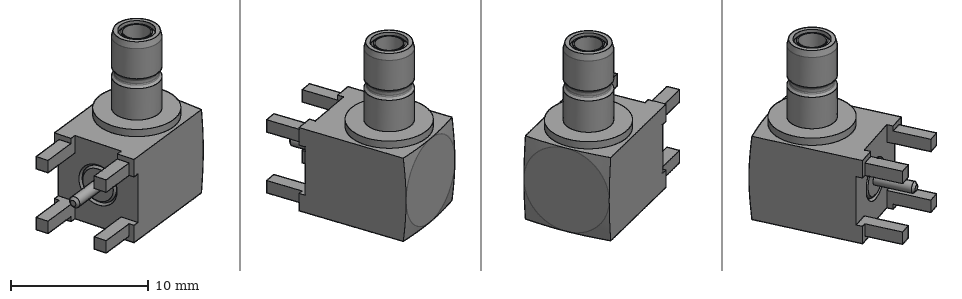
import cadquery as cq


height = 14.1
overall_depth = 12.05
body_width = 7.0
half_width = body_width / 2
back_y = half_width
leg_end_y = back_y - overall_depth
foot_y = -5.55
recess_y = -5.05
pin_z = half_width

back_rim_depth = 0.24
corner_radius = half_width * 2 ** 0.5

foot_size = 1.47
leg_inset = 0.42
leg_size = foot_size - leg_inset

pin_radius = 0.45
pin_tip_radius = 0.24
pin_end_y = -8.3
pin_chamfer_length = 0.21
groove_outer_radius = 1.68
groove_inner_radius = 1.34
groove_mid_radius = (groove_outer_radius + groove_inner_radius) / 2
groove_depth = 0.17

flange_radius = 3.21
flange_top = 7.6
barrel_radius = 1.85
barrel_tip_radius = 1.72
barrel_chamfer_height = 0.51
neck_radius = 1.62
neck_top = 11.07
neck_bottom = 10.24
neck_slope_height = barrel_radius - neck_radius
neck_fillet = 0.14

mouth_radius = 1.38
sleeve_tip_radius = 1.15
sleeve_top = 13.97
sleeve_chamfer_height = 0.23
bore_radius = 1.05
bore_floor = flange_top
contact_shoulder_radius = 0.44
contact_shoulder_top = 9.87
contact_radius = 0.27
contact_top = 11.28
contact_tip_radius = 0.05
contact_tip_height = contact_radius - contact_tip_radius


def make_body():
    """Square block whose back corners are turned down by a shallow cone."""
    block = cq.Workplane("XY").box(
        body_width, back_y - recess_y, body_width, centered=(True, False, False)
    ).translate((0, recess_y, 0))
    envelope = (
        cq.Workplane("XY")
        .moveTo(0, recess_y)
        .lineTo(corner_radius, recess_y)
        .lineTo(corner_radius, back_y - back_rim_depth)
        .lineTo(half_width, back_y)
        .lineTo(0, back_y)
        .close()
        .revolve(360, (0, 0), (0, 1))
        .translate((0, 0, pin_z))
    )
    return block.intersect(envelope)


def make_corner_post(side_x, side_z, size, offset, start_y, end_y):
    """Square post, its centre placed by offset from the pin axis."""
    return cq.Workplane("XY").box(size, start_y - end_y, size).translate(
        (side_x * offset, (start_y + end_y) / 2, pin_z + side_z * offset)
    )


def add_feet(part):
    foot_offset = half_width - foot_size / 2
    leg_offset = half_width - leg_inset - leg_size / 2
    for side_x in (-1, 1):
        for side_z in (-1, 1):
            part = part.union(make_corner_post(side_x, side_z, foot_size, foot_offset, recess_y, foot_y))
            part = part.union(make_corner_post(side_x, side_z, leg_size, leg_offset, foot_y, leg_end_y))
    return part


def make_groove():
    """V-section ring cut into the recessed front face."""
    return (
        cq.Workplane("XY")
        .moveTo(groove_inner_radius, recess_y)
        .lineTo(groove_mid_radius, recess_y + groove_depth)
        .lineTo(groove_outer_radius, recess_y)
        .close()
        .revolve(360, (0, 0), (0, 1))
        .translate((0, 0, pin_z))
    )


def make_pin():
    return (
        cq.Workplane("XY")
        .moveTo(0, recess_y)
        .lineTo(pin_radius, recess_y)
        .lineTo(pin_radius, pin_end_y + pin_chamfer_length)
        .lineTo(pin_tip_radius, pin_end_y)
        .lineTo(0, pin_end_y)
        .close()
        .revolve(360, (0, 0), (0, 1))
        .translate((0, 0, pin_z))
    )


def make_neck():
    """Ring removed from the barrel to leave the snap groove."""
    return (
        cq.Workplane("XZ")
        .moveTo(barrel_radius, neck_bottom)
        .lineTo(neck_radius, neck_bottom + neck_slope_height)
        .lineTo(neck_radius, neck_top - neck_slope_height)
        .lineTo(barrel_radius, neck_top)
        .close()
        .revolve(360, (0, 0), (0, 1))
        .edges(cq.selectors.RadiusNthSelector(0))
        .fillet(neck_fillet)
    )


def make_barrel():
    """Flange, grooved barrel, insulating sleeve and centre contact."""
    barrel = (
        cq.Workplane("XZ")
        .moveTo(0, body_width)
        .lineTo(flange_radius, body_width)
        .lineTo(flange_radius, flange_top)
        .lineTo(barrel_radius, flange_top)
        .lineTo(barrel_radius, height - barrel_chamfer_height)
        .lineTo(barrel_tip_radius, height)
        .lineTo(mouth_radius, height)
        .lineTo(mouth_radius, sleeve_top - sleeve_chamfer_height)
        .lineTo(sleeve_tip_radius, sleeve_top)
        .lineTo(bore_radius, sleeve_top)
        .lineTo(bore_radius, bore_floor)
        .lineTo(contact_shoulder_radius, bore_floor)
        .lineTo(contact_shoulder_radius, contact_shoulder_top)
        .lineTo(contact_radius, contact_shoulder_top)
        .lineTo(contact_radius, contact_top - contact_tip_height)
        .lineTo(contact_tip_radius, contact_top)
        .lineTo(0, contact_top)
        .close()
        .revolve(360, (0, 0), (0, 1))
    )
    return barrel.cut(make_neck())


result = add_feet(make_body()).cut(make_groove()).union(make_pin()).union(make_barrel())